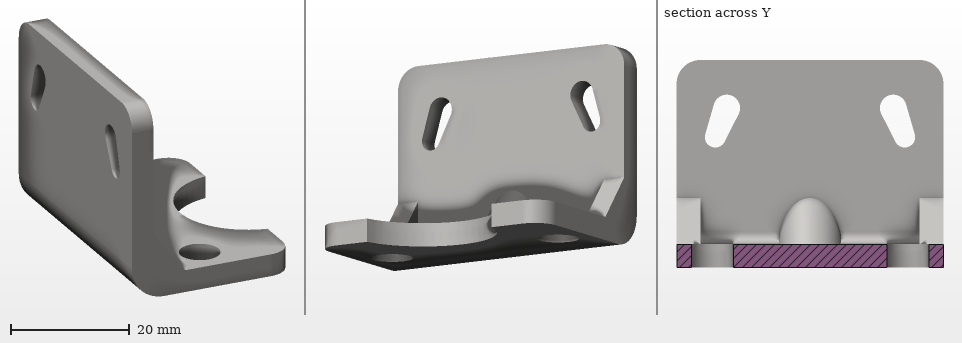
import cadquery as cq
import math

width = 45.0
depth = 30.0
height = 35.0
thickness = 4.0
corner_radius = 4.0
inner_bend_radius = 2.0
outer_bend_radius = inner_bend_radius + thickness

gusset_width = 4.0
gusset_foot_leg = 6.0
gusset_wall_leg = 7.75

rib_radius = 5.5

foot_hole_diameter = 7.0
foot_hole_spacing = 33.0
foot_hole_y = 15.45
notch_radius = 12.5
notch_bottom_y = 19.55

slot_upper_radius = 2.25
slot_upper_x = 14.05
slot_upper_z = 26.9
slot_lower_radius = 1.75
slot_lower_x = 15.98
slot_lower_z = 22.0


def make_bent_plate():
    """L-shaped plate with a rounded bend and rounded free corners."""
    profile = (
        cq.Workplane("YZ")
        .polyline([
            (0, 0), (depth, 0), (depth, thickness),
            (thickness, thickness), (thickness, height), (0, height),
        ])
        .close()
        .extrude(width / 2, both=True)
    )
    bent = (
        profile
        .edges(cq.selectors.NearestToPointSelector((0, 0, 0))).fillet(outer_bend_radius)
        .edges(cq.selectors.NearestToPointSelector((0, thickness, thickness))).fillet(inner_bend_radius)
    )
    return bent.edges("(|Y and >Z) or (|Z and >Y)").edges("<X or >X").fillet(corner_radius)


def make_gusset_prism(x_start, length):
    """Triangular prism filling the inside of the bend."""
    return (
        cq.Workplane("YZ", origin=(x_start, thickness, thickness))
        .polyline([(0, 0), (gusset_foot_leg, 0), (0, gusset_wall_leg)])
        .close()
        .extrude(length)
    )


def make_rib():
    """Inclined cylinder whose crest lies on the gusset slope, kept inside the bend."""
    slope_length = math.hypot(gusset_foot_leg, gusset_wall_leg)
    along_y = -gusset_foot_leg / slope_length
    along_z = gusset_wall_leg / slope_length
    start_y = thickness + gusset_foot_leg / 2 - rib_radius * along_z - slope_length * along_y
    start_z = thickness + gusset_wall_leg / 2 + rib_radius * along_y - slope_length * along_z
    cylinder = cq.Solid.makeCylinder(
        rib_radius, 2 * slope_length,
        cq.Vector(0, start_y, start_z), cq.Vector(0, along_y, along_z),
    )
    return make_gusset_prism(-rib_radius, 2 * rib_radius).intersect(cq.Workplane(cylinder))


def make_slot(side):
    """Cutter bounded by two circles and their common outer tangents."""
    step_x = slot_lower_x - slot_upper_x
    step_z = slot_lower_z - slot_upper_z
    axis_angle = math.atan2(step_z, step_x)
    tangent_angle = math.acos((slot_upper_radius - slot_lower_radius) / math.hypot(step_x, step_z))

    def upper(angle):
        return (side * (slot_upper_x + slot_upper_radius * math.cos(angle)),
                slot_upper_z + slot_upper_radius * math.sin(angle))

    def lower(angle):
        return (side * (slot_lower_x + slot_lower_radius * math.cos(angle)),
                slot_lower_z + slot_lower_radius * math.sin(angle))

    first = axis_angle + tangent_angle
    second = axis_angle - tangent_angle
    return (
        cq.Workplane("XZ")
        .moveTo(*upper(first))
        .threePointArc(upper(axis_angle + math.pi), upper(second))
        .lineTo(*lower(second))
        .threePointArc(lower(axis_angle), lower(first))
        .close()
        .extrude(-thickness)
    )


def make_foot_openings():
    """Two round holes and the circular notch in the free edge of the foot."""
    holes = (
        cq.Workplane("XY")
        .pushPoints([(side * foot_hole_spacing / 2, foot_hole_y) for side in (-1, 1)])
        .circle(foot_hole_diameter / 2)
        .extrude(thickness)
    )
    notch = (
        cq.Workplane("XY")
        .center(0, notch_bottom_y + notch_radius)
        .circle(notch_radius)
        .extrude(thickness)
    )
    return holes.union(notch)


result = make_bent_plate().union(make_rib())
for gusset_start in (-width / 2, width / 2 - gusset_width):
    result = result.union(make_gusset_prism(gusset_start, gusset_width))
result = result.cut(make_foot_openings())
for slot_side in (-1, 1):
    result = result.cut(make_slot(slot_side))